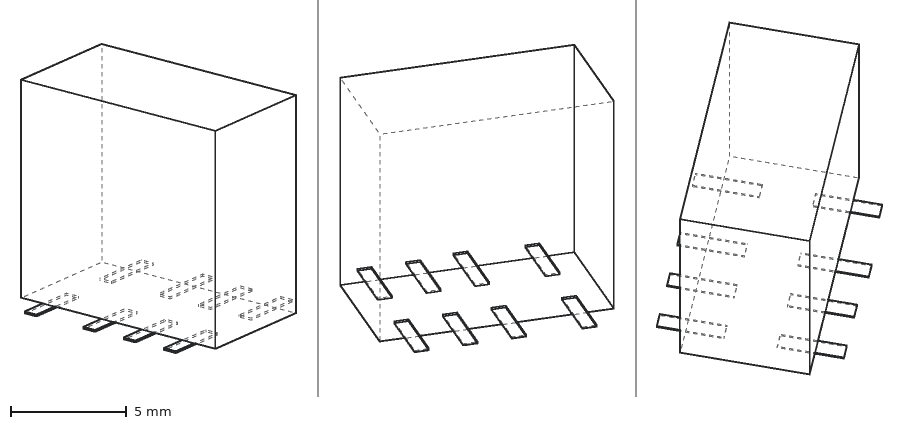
import cadquery as cq

body_length = 10.6
body_width = 5.71
total_height = 10.1

lead_thickness = 0.09
lead_width = 0.65
lead_inner_y = 1.18
lead_outer_y = 4.12
long_lead_outer_y = 4.31

outer_column_x = 3.8
column_pitch = 2.2
long_lead_x = outer_column_x - 2 * column_pitch
lead_columns = [-outer_column_x, long_lead_x, outer_column_x - column_pitch, outer_column_x]


def make_body():
    """Plain rectangular housing standing on top of the leads."""
    return (
        cq.Workplane("XY", origin=(0, 0, lead_thickness))
        .box(body_length, body_width, total_height - lead_thickness, centered=(True, True, False))
    )


def make_lead(x, side, outer_y):
    """Flat strip centred on x, reaching from under the body out to outer_y on one side."""
    length = outer_y - lead_inner_y
    middle_y = side * (outer_y + lead_inner_y) / 2
    return (
        cq.Workplane("XY", origin=(x, middle_y, 0))
        .box(lead_width, length, lead_thickness, centered=(True, True, False))
    )


body = make_body()

leads = []
for column_x in lead_columns:
    for side in (-1, 1):
        is_long = side > 0 and column_x == long_lead_x
        reach = long_lead_outer_y if is_long else lead_outer_y
        leads.append(make_lead(column_x, side, reach))

result = cq.Compound.makeCompound([body.val(), *[lead.val() for lead in leads]])